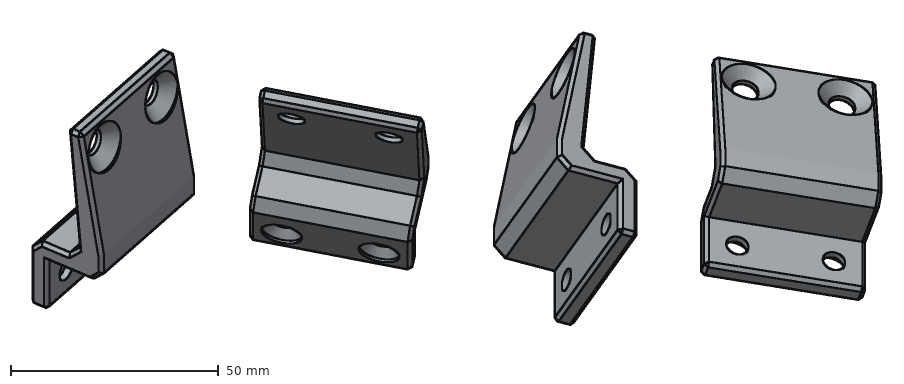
import cadquery as cq
import math

DEPTH = 21.0
WIDTH = 40.0
HEIGHT = 57.95
EDGE_CHAMFER = 1.0

LEG_THICKNESS = 5.0
SHELF_TOP = 20.0
SHELF_BOTTOM = 15.0
CORNER_CUT = 3.0

FRONT_LEAN = 5.0
BACK_LEAN = 10.0
FRONT_KNEE_X = 13.95
FRONT_KNEE_Z = 22.9
BACK_KNEE_Z = 23.55

HOLE_SPACING = 24.0
LOWER_HOLE_Z = 7.55
LOWER_HOLE_DIAMETER = 5.5
LOWER_SINK_DIAMETER = 10.0
LOWER_SINK_RECESS = 0.75
UPPER_HOLE_Z = 49.75
UPPER_HOLE_DIAMETER = 6.6
UPPER_SINK_DIAMETER = 13.4
CUT_REACH = 11.6


def front_face_x(z):
    """X of the upper plate's front face at height z."""
    return FRONT_KNEE_X - (z - FRONT_KNEE_Z) * math.tan(math.radians(FRONT_LEAN))


def back_face_x(z):
    """X of the upper plate's back face at height z."""
    return DEPTH - (z - BACK_KNEE_Z) * math.tan(math.radians(BACK_LEAN))


def make_body():
    inner_bend_x = FRONT_KNEE_X - (FRONT_KNEE_Z - SHELF_TOP)
    outline = [
        (0, 0),
        (LEG_THICKNESS, 0),
        (LEG_THICKNESS, SHELF_BOTTOM),
        (DEPTH - CORNER_CUT, SHELF_BOTTOM),
        (DEPTH, SHELF_BOTTOM + CORNER_CUT),
        (DEPTH, BACK_KNEE_Z),
        (back_face_x(HEIGHT), HEIGHT),
        (front_face_x(HEIGHT), HEIGHT),
        (FRONT_KNEE_X, FRONT_KNEE_Z),
        (inner_bend_x, SHELF_TOP),
        (CORNER_CUT, SHELF_TOP),
        (0, SHELF_TOP - CORNER_CUT),
    ]
    body = cq.Workplane("XZ").polyline(outline).close().extrude(WIDTH / 2, both=True)
    return body.faces("<Y or >Y or <Z or >Z").edges().chamfer(EDGE_CHAMFER)


def countersink_cutter(hole_diameter, sink_diameter, mouth, inward):
    """90 degree countersink at mouth, with clearance outside and a hole along inward."""
    hole_radius = hole_diameter / 2
    sink_radius = sink_diameter / 2
    sink_depth = sink_radius - hole_radius
    cone = cq.Solid.makeCone(sink_radius, hole_radius, sink_depth, mouth, inward)
    hole = cq.Solid.makeCylinder(hole_radius, CUT_REACH, mouth, inward)
    clearance = cq.Solid.makeCylinder(sink_radius, CUT_REACH, mouth, -inward)
    return cq.Workplane(cone).union(cq.Workplane(hole)).union(cq.Workplane(clearance))


def lower_hole(y):
    """Screw hole through the leg, countersunk from the front."""
    mouth = cq.Vector(LOWER_SINK_RECESS, y, LOWER_HOLE_Z)
    return countersink_cutter(LOWER_HOLE_DIAMETER, LOWER_SINK_DIAMETER, mouth, cq.Vector(1, 0, 0))


def upper_hole(y):
    """Screw hole square to the plate's front face, countersunk from the back."""
    lean = math.radians(FRONT_LEAN)
    entry_x = front_face_x(UPPER_HOLE_Z)
    gap = back_face_x(UPPER_HOLE_Z) - entry_x
    length = gap / (math.cos(lean) + math.sin(lean) * math.tan(math.radians(BACK_LEAN)))
    outward = cq.Vector(math.cos(lean), 0, math.sin(lean))
    mouth = cq.Vector(entry_x, y, UPPER_HOLE_Z) + outward * length
    return countersink_cutter(UPPER_HOLE_DIAMETER, UPPER_SINK_DIAMETER, mouth, -outward)


result = make_body()
for hole_y in (-HOLE_SPACING / 2, HOLE_SPACING / 2):
    result = result.cut(lower_hole(hole_y)).cut(upper_hole(hole_y))